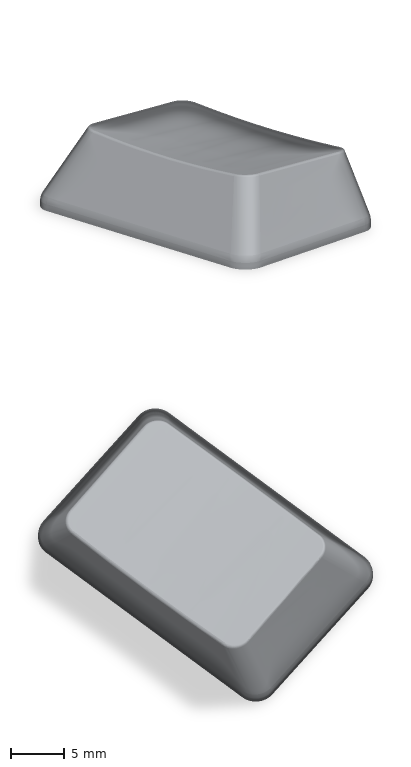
import cadquery as cq
import math

LENGTH = 27.7
WIDTH = 18.16
HEIGHT = 7.75

SKIRT_HEIGHT = 0.66
SHOULDER_HEIGHT = 0.65
END_LEAN = 26.0
FRONT_LEAN = 27.0
BACK_LEAN = 5.1

DISH_SAG = 0.42
DISH_HALF_CHORD = 10.52
RIM_HEIGHT = 7.8

CORNER_RADIUS = 2.0
CORNER_TAPER = 0.05
TOP_EDGE_RADIUS = 0.28

BLANK_FRONT_HEIGHT = 8.3
BLANK_BACK_HEIGHT = 7.6

CLEARANCE = 0.55

SHOULDER_TOP = SKIRT_HEIGHT + SHOULDER_HEIGHT


def wall_rise(level):
    """Rise of a straight wall that gives the inset at a height."""
    above_skirt = level - SKIRT_HEIGHT
    if level < SHOULDER_TOP:
        return above_skirt**2 / (2 * SHOULDER_HEIGHT)
    return above_skirt - SHOULDER_HEIGHT / 2


def inset(level, lean):
    """Distance a wall has moved inward at a height."""
    return wall_rise(level) * math.tan(math.radians(lean))


def span_between(front_level, back_level):
    """Front Y, back Y and downward tilt (degrees) of a plane meeting both long walls."""
    front_y = -WIDTH / 2 + inset(front_level, FRONT_LEAN)
    back_y = WIDTH / 2 - inset(back_level, BACK_LEAN)
    tilt = math.degrees(math.atan2(front_level - back_level, back_y - front_y))
    return front_y, back_y, tilt


def outline_between(front_level, back_level):
    """Rounded rectangle through the walls, level or tilted about X, placed above the skirt."""
    middle_level = (front_level + back_level) / 2
    front_y, back_y, tilt = span_between(front_level, back_level)
    length = LENGTH - 2 * inset(middle_level, END_LEAN)
    width = math.hypot(back_y - front_y, front_level - back_level)
    radius = CORNER_RADIUS - wall_rise(middle_level) * CORNER_TAPER
    centre = cq.Vector(0, (front_y + back_y) / 2, middle_level - SKIRT_HEIGHT)
    return (
        cq.Sketch()
        .rect(length, width)
        .vertices()
        .fillet(radius)
        .moved(cq.Location(centre, cq.Vector(1, 0, 0), -tilt))
    )


def loft_through(outlines, ruled):
    """Solid skinned through wall outlines."""
    return (
        cq.Workplane("XY", origin=(0, 0, SKIRT_HEIGHT))
        .placeSketch(*outlines)
        .loft(ruled=ruled)
    )


def make_walls():
    """Upright skirt, curved shoulder and straight leaning walls."""
    shoulder_middle = SKIRT_HEIGHT + SHOULDER_HEIGHT / 2
    shoulder_levels = (SKIRT_HEIGHT, shoulder_middle, SHOULDER_TOP)
    shoulder_outlines = [outline_between(level, level) for level in shoulder_levels]
    top_outline = outline_between(BLANK_FRONT_HEIGHT, BLANK_BACK_HEIGHT)

    skirt = cq.Workplane("XY").placeSketch(shoulder_outlines[0]).extrude(SKIRT_HEIGHT)
    shoulder = loft_through(shoulder_outlines, ruled=False)
    leaning_walls = loft_through([shoulder_outlines[-1], top_outline], ruled=True)
    return skirt.union(shoulder).union(leaning_walls)


def make_dish_cutter():
    """Everything above the tilted cylindrical top surface."""
    front_y, _, tilt = span_between(BLANK_FRONT_HEIGHT, BLANK_BACK_HEIGHT)
    half_span = LENGTH / 2 + CLEARANCE
    radius = (DISH_HALF_CHORD**2 + DISH_SAG**2) / (2 * DISH_SAG)
    edge_rise = radius - math.sqrt(radius**2 - half_span**2)
    return (
        cq.Workplane("XZ")
        .moveTo(-half_span, edge_rise)
        .threePointArc((0, 0), (half_span, edge_rise))
        .lineTo(half_span, 2 * HEIGHT)
        .lineTo(-half_span, 2 * HEIGHT)
        .close()
        .extrude(WIDTH, both=True)
        .rotate((0, 0, 0), (1, 0, 0), -tilt)
        .translate((0, front_y, RIM_HEIGHT - DISH_SAG))
    )


result = (
    make_walls()
    .cut(make_dish_cutter())
    .faces(">Z")
    .edges()
    .fillet(TOP_EDGE_RADIUS)
)